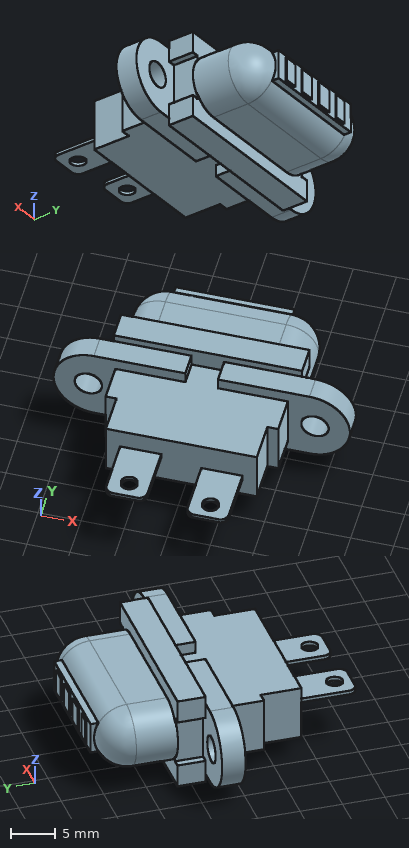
import cadquery as cq


flange_length = 34.42
flange_height = 9.4
flange_thickness = 2.8
flange_gap = 3.8
mount_hole_spacing = 26.3
mount_hole_diameter = 3.15

collar_width = 21.9
collar_height = 11.3
collar_depth = 3.3
collar_notch_height = 5.7

body_height = 6.5
upper_body_width = 20.03
upper_body_end = -7.15
lower_body_width = 17.52
lower_body_end = -11.95

cap_width = 21.58
cap_radius = 3.8
cap_tip = 11.87
cap_seat_depth = 0.1
cap_base = collar_depth - cap_seat_depth
cap_center_y = cap_tip - cap_radius
cap_straight_length = cap_width - 2 * cap_radius

plate_width = 13.85
plate_height = 3.8
plate_top = 12.3
mark_height = 3.05
mark_relief = 0.17
mark_spans = [(-5.45, -3.95), (-2.58, -0.65), (0.72, 2.58), (3.95, 5.58)]

terminal_width = 4.8
terminal_thickness = 0.5
terminal_length = 7.12
terminal_corner_radius = 0.95
terminal_offset_x = 4.7
terminal_offset_z = 0.5
terminal_end = lower_body_end - terminal_length
terminal_hole_diameter = 1.9
terminal_hole_inset = 1.95


def block(width, y_min, y_max, height):
    """Box centred on X and Z that spans y_min to y_max."""
    return cq.Workplane("XY").box(width, y_max - y_min, height).translate((0, (y_min + y_max) / 2, 0))


def make_flange():
    outline = cq.Workplane("XZ").slot2D(flange_length, flange_height).extrude(flange_thickness)
    holes = (
        cq.Workplane("XZ")
        .pushPoints([(-mount_hole_spacing / 2, 0), (mount_hole_spacing / 2, 0)])
        .circle(mount_hole_diameter / 2)
        .extrude(flange_thickness)
    )
    gap = block(flange_gap, -flange_thickness, 0, flange_height)
    return outline.cut(holes).cut(gap)


def make_collar():
    collar = block(collar_width, 0, collar_depth, collar_height)
    notch_band = block(collar_width, 0, collar_depth, collar_notch_height)
    core = block(upper_body_width, 0, collar_depth, collar_notch_height)
    return collar.cut(notch_band).union(core)


def make_body():
    upper_body = block(upper_body_width, upper_body_end, 0, body_height)
    lower_body = block(lower_body_width, lower_body_end, upper_body_end, body_height)
    return upper_body.union(lower_body)


def make_cap():
    """Slot-shaped wall closed by a half cylinder with a ball at each end."""
    cap = (
        cq.Workplane("XZ", origin=(0, cap_center_y, 0))
        .slot2D(cap_width, 2 * cap_radius)
        .extrude(cap_center_y - cap_base)
    )
    ridge = (
        cq.Workplane("YZ", origin=(-cap_straight_length / 2, cap_center_y, 0))
        .circle(cap_radius)
        .extrude(cap_straight_length)
    )
    cap = cap.union(ridge)
    for side in (-1, 1):
        ball = cq.Workplane("XY").sphere(cap_radius)
        cap = cap.union(ball.translate((side * cap_straight_length / 2, cap_center_y, 0)))
    return cap


def make_plate():
    plate = block(plate_width, cap_center_y, plate_top, plate_height)
    for x_min, x_max in mark_spans:
        mark = block(x_max - x_min, plate_top, plate_top + mark_relief, mark_height)
        plate = plate.union(mark.translate(((x_min + x_max) / 2, 0, 0)))
    return plate


def make_terminal(side):
    """Tab on the given side of X = 0; the tab on the -X side sits higher."""
    tab = (
        block(terminal_width, terminal_end, lower_body_end, terminal_thickness)
        .edges("|Z and <Y")
        .fillet(terminal_corner_radius)
    )
    hole = (
        cq.Workplane("XY")
        .cylinder(terminal_thickness, terminal_hole_diameter / 2)
        .translate((0, terminal_end + terminal_hole_inset, 0))
    )
    return tab.cut(hole).translate((side * terminal_offset_x, 0, -side * terminal_offset_z))


result = make_body().union(make_flange()).union(make_collar()).union(make_cap()).union(make_plate())
for terminal_side in (-1, 1):
    result = result.union(make_terminal(terminal_side))